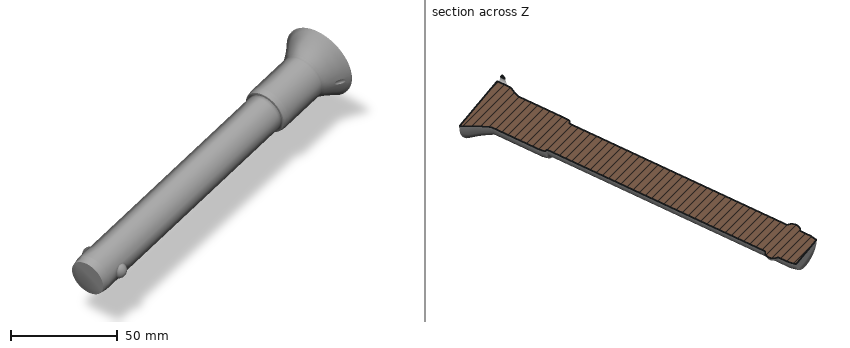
import cadquery as cq

length = 180.1
head_diameter = 38.0

rim_thickness = 0.5
flare_end = 12.5
flare_end_radius = 12.0
flare_sag = 0.4

collar_radius = 11.7
collar_start = 13.5
collar_step = 39.6
collar_shoulder = 41.2
collar_end = 42.7
collar_shoulder_radius = 11.5
collar_end_radius = 11.2

shank_radius = 9.9
tip_radius = 9.2
tip_length = 4.0

ball_radius = 4.0
ball_reach = 12.2
ball_from_tip = 13.1

hole_radius = 1.5
hole_offset = 16.0

head_radius = head_diameter / 2
rim_y = length - rim_thickness
flare_end_y = length - flare_end
flare_mid = ((head_radius + flare_end_radius) / 2 - flare_sag, (rim_y + flare_end_y) / 2)


def turned_body():
    """Head, collar and shank as one profile revolved about the Y axis."""
    return (
        cq.Workplane("XY")
        .moveTo(0, 0)
        .lineTo(tip_radius, 0)
        .lineTo(shank_radius, tip_length)
        .lineTo(shank_radius, length - collar_end)
        .lineTo(collar_end_radius, length - collar_end)
        .lineTo(collar_shoulder_radius, length - collar_shoulder)
        .lineTo(collar_radius, length - collar_step)
        .lineTo(collar_radius, length - collar_start)
        .lineTo(flare_end_radius, flare_end_y)
        .threePointArc(flare_mid, (head_radius, rim_y))
        .lineTo(head_radius, length)
        .lineTo(0, length)
        .close()
        .revolve(360, (0, 0, 0), (0, 1, 0))
    )


def locking_ball(side):
    """Ball standing out of the shank on the +X (side = 1) or -X (side = -1) side."""
    center_x = side * (ball_reach - ball_radius)
    return cq.Workplane("XY").sphere(ball_radius).translate((center_x, ball_from_tip, 0))


def lanyard_hole():
    """Cutter through the head flare, parallel to the pin axis."""
    return (
        cq.Workplane("XZ", origin=(hole_offset, length, 0))
        .circle(hole_radius)
        .extrude(flare_end)
    )


result = turned_body()
for side in (-1, 1):
    result = result.union(locking_ball(side))
result = result.cut(lanyard_hole())